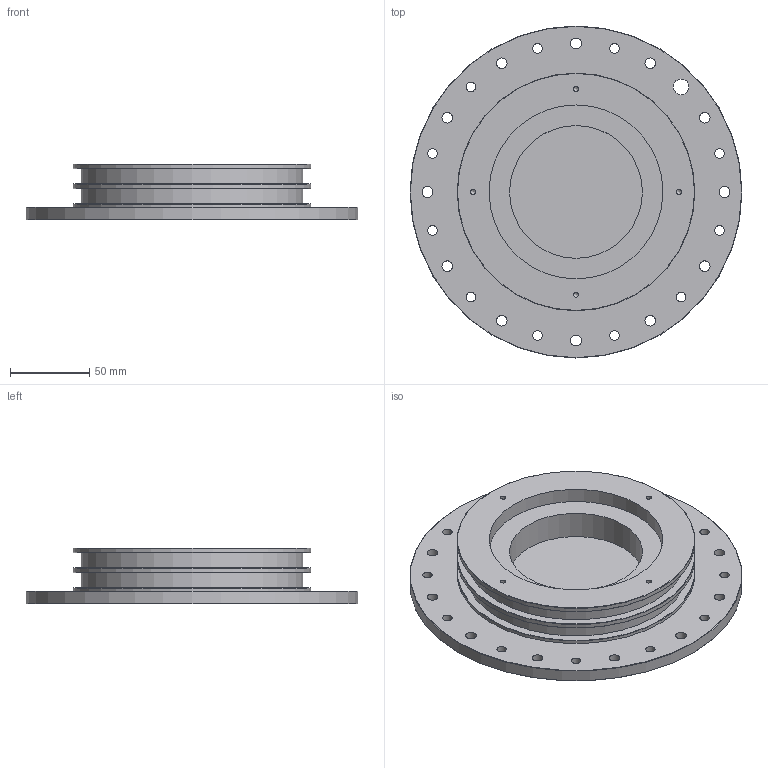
import cadquery as cq
import math

total_height = 35.4
flange_diameter = 210.0
flange_thickness = 8.0
flange_edge_chamfer = 0.2

rim_diameter = 150.3
core_diameter = 140.0
groove_width = 9.6
rim_thickness = 3.0
rim_edge_chamfer = 0.2

upper_pocket_diameter = 110.0
lower_pocket_diameter = 84.0
lower_pocket_depth = 18.0
pocket_floor = flange_thickness

bolt_circle_radius = 94.0
bolt_place_count = 24
even_hole_diameter = 6.8
odd_hole_diameter = 6.0
large_hole_diameter = 10.0
large_hole_index = 3

drill_circle_radius = 65.0
drill_hole_count = 4
drill_diameter = 3.3
drill_depth = 8.0
drill_point_angle = 118.0


def cylinder(diameter, bottom, top):
    """Solid cylinder on the Z axis between two heights."""
    return cq.Workplane("XY").workplane(offset=bottom).circle(diameter / 2).extrude(top - bottom)


def polar_point(radius, angle):
    """Point in the XY plane at an angle in degrees from +X."""
    return (radius * math.cos(math.radians(angle)), radius * math.sin(math.radians(angle)))


def flange():
    """Base disc with both outer edges broken."""
    return cylinder(flange_diameter, 0, flange_thickness).edges("%CIRCLE").chamfer(flange_edge_chamfer)


def hub():
    """Core cylinder with three rims whose free edges are broken."""
    middle_rim_top = total_height - rim_thickness - groove_width
    lower_rim_top = middle_rim_top - rim_thickness - groove_width
    body = cylinder(core_diameter, flange_thickness, total_height)
    for rim_top in (total_height, middle_rim_top):
        rim = cylinder(rim_diameter, rim_top - rim_thickness, rim_top)
        body = body.union(rim.edges("%CIRCLE").chamfer(rim_edge_chamfer))
    lower_rim = cylinder(rim_diameter, flange_thickness, lower_rim_top)
    return body.union(lower_rim.faces(">Z").edges().chamfer(rim_edge_chamfer))


def stepped_pocket():
    """Wide upper pocket with a narrower pocket in its floor."""
    step_height = pocket_floor + lower_pocket_depth
    upper = cylinder(upper_pocket_diameter, step_height, total_height)
    return upper.union(cylinder(lower_pocket_diameter, pocket_floor, step_height))


def bolt_place_diameter(index):
    """Diameter of the flange hole at one place on the bolt circle."""
    if index == large_hole_index:
        return large_hole_diameter
    if index % 2 == 0:
        return even_hole_diameter
    return odd_hole_diameter


def flange_hole(index):
    """Through hole at one place on the bolt circle."""
    x, y = polar_point(bolt_circle_radius, index * 360.0 / bolt_place_count)
    return cylinder(bolt_place_diameter(index), 0, flange_thickness).translate((x, y, 0))


def drilled_hole(index):
    """Blind hole in the top face with a conical drill point."""
    radius = drill_diameter / 2
    shoulder = total_height - drill_depth
    point_height = radius / math.tan(math.radians(drill_point_angle / 2))
    profile = (
        cq.Workplane("XZ")
        .moveTo(0, total_height)
        .lineTo(radius, total_height)
        .lineTo(radius, shoulder)
        .lineTo(0, shoulder - point_height)
        .close()
    )
    x, y = polar_point(drill_circle_radius, index * 360.0 / drill_hole_count)
    return profile.revolve(360, (0, 0, 0), (0, 1, 0)).translate((x, y, 0))


result = flange().union(hub()).cut(stepped_pocket())
for bolt_index in range(bolt_place_count):
    result = result.cut(flange_hole(bolt_index))
for drill_index in range(drill_hole_count):
    result = result.cut(drilled_hole(drill_index))